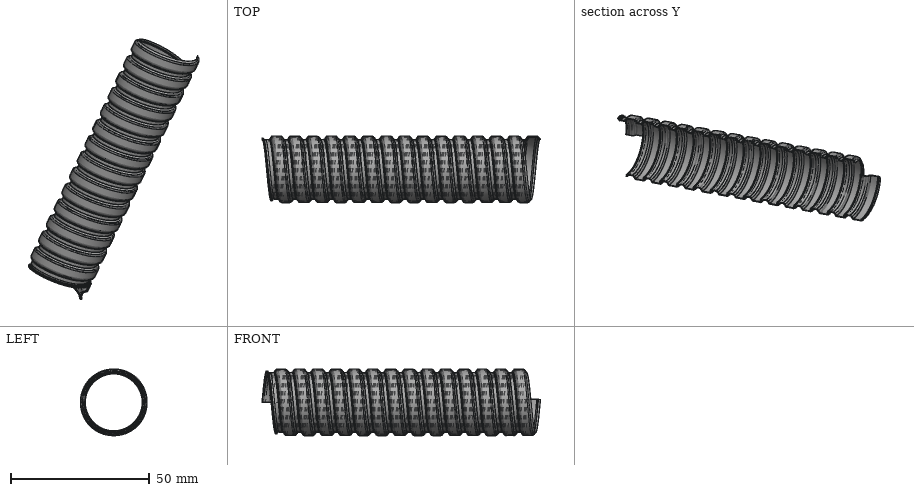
import cadquery as cq
import math

overall_length = 100.8
band_width = 8.1
whole_turns = 14
extra_degrees = 5.5
turns = whole_turns + extra_degrees / 360
pitch = (overall_length - band_width) / turns

strip_thickness = 0.35
liner_thickness = 0.2

crest_radius = 24.2 / 2
valley_radius = 21.8 / 2
seat_radius = 21.5 / 2
lip_radius = 22.8 / 2
seat_depth = valley_radius - seat_radius
hook_clearance = 0.02
hook_radius = valley_radius + hook_clearance

lip_face = strip_thickness + liner_thickness
seat_end = 1.3
rise_start = 2.8
crest_start = 3.5
liner_end = 6.7
crest_end = 7.1
hook_end = 7.3

lip_bend = 0.1
valley_bend = 0.4
crest_bend = 0.7

rising_path = [
    (lip_face, lip_radius, 0),
    (lip_face, valley_radius, lip_bend),
    (rise_start, valley_radius, valley_bend),
    (crest_start, crest_radius, crest_bend),
]
hook_path = [
    (crest_end, crest_radius, crest_bend),
    (band_width, hook_radius, 0),
    (hook_end, hook_radius, 0),
]


def direction(start, end):
    """Unit vector from one path point to the next."""
    return cq.Vector(end[0] - start[0], end[1] - start[1]).normalized()


def offset_path(path, depth):
    """Path moved by depth to its right-hand side, bends kept concentric."""
    moved = []
    last_stretch = len(path) - 2
    for i, (place, radius, bend) in enumerate(path):
        stretch_before = max(i - 1, 0)
        stretch_after = min(i, last_stretch)
        before = direction(path[stretch_before], path[stretch_before + 1])
        after = direction(path[stretch_after], path[stretch_after + 1])
        shift = depth / (1 + before.dot(after))
        left_turn = before.x * after.y > before.y * after.x
        new_bend = bend and bend + (depth if left_turn else -depth)
        moved.append((place + shift * (before.y + after.y), radius - shift * (before.x + after.x), new_bend))
    return moved


def draw_outline(outline):
    """Closed profile through the outline's points, with an arc at each bend."""
    first_place, first_radius, _ = outline[0]
    profile = cq.Workplane("XZ").moveTo(first_radius, first_place)
    for i, (place, radius, bend) in enumerate(outline[1:], start=1):
        if not bend:
            profile = profile.lineTo(radius, place)
            continue
        corner = cq.Vector(place, radius)
        to_last = direction(outline[i], outline[i - 1])
        to_next = direction(outline[i], outline[i + 1])
        half_angle = to_last.getAngle(to_next) / 2
        tangent_length = bend / math.tan(half_angle)
        arc_start = corner + to_last * tangent_length
        arc_end = corner + to_next * tangent_length
        arc_middle = corner + (to_last + to_next).normalized() * (bend / math.sin(half_angle) - bend)
        profile = profile.lineTo(arc_start.y, arc_start.x)
        profile = profile.threePointArc((arc_middle.y, arc_middle.x), (arc_end.y, arc_end.x))
    return profile.close()


def wound_band(outline):
    """Solid with the given cross-section, wound around the X axis from the +Y side."""
    helix_start = cq.Vector(0, 0, band_width / 2)
    helix = cq.Wire.makeHelix(pitch, pitch * turns, valley_radius, helix_start)
    band = draw_outline(outline).sweep(cq.Workplane(obj=helix), isFrenet=True)
    third_of_turn = 120
    band = band.rotate((0, 0, 0), (1, 1, 1), third_of_turn)
    return band.translate((-overall_length / 2, 0, 0))


def make_strip():
    """Strip with a lip and a hook; the lip side is thinned to seat the next turn's hook."""
    sheet_path = rising_path + hook_path
    thinned_lip = offset_path(sheet_path, seat_depth)[:2]
    seat_step = [(seat_end, seat_radius, 0), (seat_end, valley_radius, 0)]
    outer = thinned_lip + seat_step + sheet_path[2:]
    inner = offset_path(sheet_path, strip_thickness)
    return wound_band(outer + inner[::-1])


def make_liner():
    """Thin liner lying against the inside of the strip from its lip to the end of its crest."""
    path = rising_path + [(liner_end, crest_radius, 0)]
    outer = offset_path(path, strip_thickness)
    inner = offset_path(path, strip_thickness + liner_thickness)
    return wound_band(outer + inner[::-1])


strip = make_strip()
liner = make_liner()

result = cq.Compound.makeCompound([strip.val(), liner.val()])